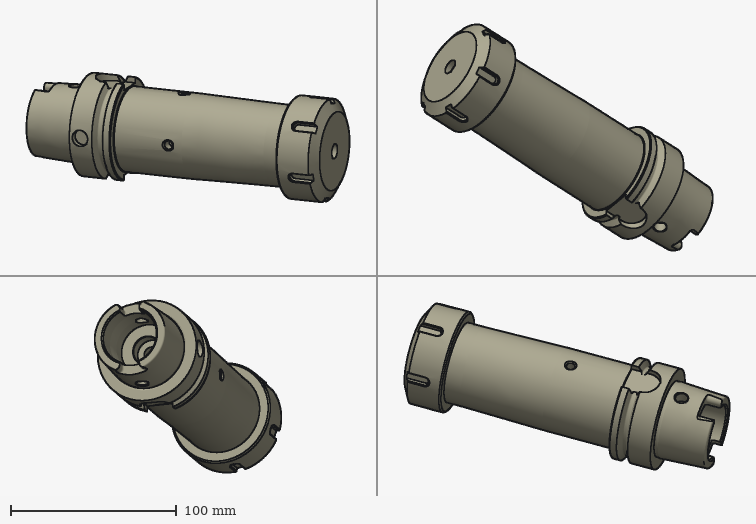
import cadquery as cq
import math


shank_length = 32.0
shank_rim_radius = 22.5
shank_root_radius = 24.05
shank_root_x = -2.2
rim_rounding = 1.0
relief_radius = 23.8
relief_depth = 0.4
relief_face_radius = 25.1

mouth_bore_radius = 17.0
mouth_chamfer = 0.9
mouth_bore_depth = 13.0
inner_bore_radius = 16.2
inner_bore_depth = 22.5
cavity_floor_x = 0.0
tube_recess_radius = 8.7
tube_recess_chamfer = 0.3
tube_recess_depth = 8.0
coolant_bore_radius = 4.5

drive_slot_width = 12.54
upper_slot_depth = 10.0
lower_slot_depth = 6.0
slot_corner_radius = 1.2
slot_shoulder_height = 20.6
slot_edge_radius = 2.7

cross_hole_x = -8.9
cross_hole_radius = 3.8
cross_hole_sink_depth = 0.6

flange_radius = 31.5
flange_length = 26.5
flange_chamfer = 0.6
groove_x = 18.13
groove_floor_radius = 27.5
groove_floor_width = 2.5
groove_floor_fillet = 0.7
groove_side_angle = 30.0
shoulder_radius = 26.3
shoulder_length = 0.5

keyway_width = 18.0
keyway_start_x = 5.0
keyway_floor_height = 26.5

chip_pocket_x = 6.9
chip_pocket_radius = 5.0
chip_pocket_depth = 4.6

barrel_radius = 26.0
nose_radius = 25.0
barrel_taper_start_x = 70.7
barrel_taper_end_x = 123.8

screw_hole_x = 62.0
screw_hole_radius = 2.6
screw_sink_depth = 1.0
screw_hole_depth = 8.0
screw_drill_point_angle = 118.0

nut_start_x = 134.2
nut_end_x = 159.9
nut_radius = 31.5
nut_back_chamfer = 1.0
nut_front_radius = 24.0
nut_front_chamfer_length = 4.4
nut_front_edge_x = nut_end_x - nut_front_chamfer_length

wrench_slot_count = 6
wrench_slot_phase = 10.0
wrench_slot_floor_height = 28.7
wrench_slot_floor_width = 4.5
wrench_slot_floor_start_x = 143.0
wrench_slot_flank_angle = 12.0
wrench_slot_bevel_height = 30.75
wrench_slot_bevel_angle = 45.0


def revolve_about_x(points):
    """Turn a closed (x, radius) outline about the X axis."""
    return cq.Workplane("XY").polyline(points).close().revolve(360, (0, 0, 0), (1, 0, 0))


def make_holder_blank():
    """Turned outside of the holder: shank, flange, barrel and nose."""
    groove_rise = flange_radius - groove_floor_radius
    groove_half_floor = groove_floor_width / 2
    groove_half_mouth = groove_half_floor + groove_rise * math.tan(math.radians(groove_side_angle))
    shoulder_end_x = flange_length + shoulder_length
    blank = revolve_about_x([
        (-shank_length, 0),
        (-shank_length, shank_rim_radius),
        (shank_root_x, shank_root_radius),
        (shank_root_x / 2, relief_radius),
        (relief_depth, relief_radius),
        (0, relief_face_radius),
        (0, flange_radius),
        (groove_x - groove_half_mouth, flange_radius),
        (groove_x - groove_half_floor, groove_floor_radius),
        (groove_x + groove_half_floor, groove_floor_radius),
        (groove_x + groove_half_mouth, flange_radius),
        (flange_length - flange_chamfer, flange_radius),
        (flange_length, flange_radius - flange_chamfer),
        (flange_length, shoulder_radius),
        (shoulder_end_x, barrel_radius),
        (barrel_taper_start_x, barrel_radius),
        (barrel_taper_end_x, nose_radius),
        (nut_front_edge_x, nose_radius),
        (nut_front_edge_x, 0),
    ])
    blank = blank.faces("<X").edges().fillet(rim_rounding)
    floor_reach = groove_half_floor + groove_floor_fillet
    groove_floor_box = cq.selectors.BoxSelector(
        (groove_x - floor_reach, -flange_radius, -flange_radius),
        (groove_x + floor_reach, flange_radius, flange_radius),
        boundingbox=True,
    )
    return blank.edges(groove_floor_box).edges("%CIRCLE").fillet(groove_floor_fillet)


def make_holder_cavity():
    """Stepped cavity of the shank, running into the coolant bore."""
    recess_end_x = cavity_floor_x + tube_recess_depth
    return revolve_about_x([
        (-shank_length, 0),
        (-shank_length, mouth_bore_radius + mouth_chamfer),
        (-shank_length + mouth_chamfer, mouth_bore_radius),
        (-shank_length + mouth_bore_depth, mouth_bore_radius),
        (-shank_length + inner_bore_depth, inner_bore_radius),
        (cavity_floor_x, inner_bore_radius),
        (cavity_floor_x, tube_recess_radius + tube_recess_chamfer),
        (cavity_floor_x + tube_recess_chamfer, tube_recess_radius),
        (recess_end_x, tube_recess_radius),
        (recess_end_x, coolant_bore_radius),
        (nut_front_edge_x, coolant_bore_radius),
        (nut_front_edge_x, 0),
    ])


def make_drive_slot(depth):
    """Cutter for a slot in the +Z side of the shank rim, its walls rounding out to flat shoulders."""
    half_width = drive_slot_width / 2
    rounding_end_y = half_width + slot_edge_radius
    rounding_start_z = slot_shoulder_height - slot_edge_radius
    return (
        cq.Workplane("YZ", origin=(-shank_length, 0, 0))
        .moveTo(-half_width, 0)
        .lineTo(-half_width, rounding_start_z)
        .radiusArc((-rounding_end_y, slot_shoulder_height), -slot_edge_radius)
        .lineTo(-shank_rim_radius, slot_shoulder_height)
        .lineTo(-shank_rim_radius, flange_radius)
        .lineTo(shank_rim_radius, flange_radius)
        .lineTo(shank_rim_radius, slot_shoulder_height)
        .lineTo(rounding_end_y, slot_shoulder_height)
        .radiusArc((half_width, rounding_start_z), -slot_edge_radius)
        .lineTo(half_width, 0)
        .close()
        .extrude(depth)
        .faces(">X")
        .edges("not(<Z or >Z or <Y or >Y)")
        .fillet(slot_corner_radius)
    )


def make_keyway():
    """Cutter for a round-ended keyway in the +Z side of the flange rim."""
    half_width = keyway_width / 2
    arc_center_x = keyway_start_x + half_width
    end_x = flange_length + shoulder_length
    return (
        cq.Workplane("XY", origin=(0, 0, keyway_floor_height))
        .moveTo(end_x, -half_width)
        .lineTo(arc_center_x, -half_width)
        .threePointArc((keyway_start_x, 0), (arc_center_x, half_width))
        .lineTo(end_x, half_width)
        .close()
        .extrude(flange_radius)
    )


def revolve_about_z(points, x):
    """Turn a closed (radius, height) outline about a vertical axis that crosses the tool axis at x."""
    profile = cq.Workplane("XZ").polyline(points).close()
    return profile.revolve(360, (0, 0, 0), (0, 1, 0)).translate((x, 0, 0))


def make_cross_hole():
    """Cutter for the +Z half of the hole across the shank, countersunk at the taper."""
    taper_slope = (shank_root_radius - shank_rim_radius) / (shank_root_x + shank_length)
    surface_radius = shank_root_radius + taper_slope * (cross_hole_x - shank_root_x)
    mouth_radius = cross_hole_radius + cross_hole_sink_depth
    return revolve_about_z([
        (0, 0),
        (cross_hole_radius, 0),
        (cross_hole_radius, surface_radius - cross_hole_sink_depth),
        (mouth_radius, surface_radius),
        (mouth_radius, flange_radius),
        (0, flange_radius),
    ], cross_hole_x)


def make_chip_pocket():
    """Cutter for the flat-bottomed round pocket on the -Y side of the flange."""
    return (
        cq.Workplane("XZ", origin=(chip_pocket_x, chip_pocket_depth - flange_radius, 0))
        .circle(chip_pocket_radius)
        .extrude(flange_radius)
    )


def make_screw_hole():
    """Cutter for a countersunk blind hole with a drill point, in the +Z side of the barrel."""
    shoulder_z = barrel_radius - screw_hole_depth
    drill_point_length = screw_hole_radius / math.tan(math.radians(screw_drill_point_angle / 2))
    mouth_radius = screw_hole_radius + screw_sink_depth
    return revolve_about_z([
        (0, shoulder_z - drill_point_length),
        (screw_hole_radius, shoulder_z),
        (screw_hole_radius, barrel_radius - screw_sink_depth),
        (mouth_radius, barrel_radius),
        (0, barrel_radius),
    ], screw_hole_x)


def turn(cutter, angle):
    """Turn a cutter about the tool axis; positive angles go from +Y to +Z."""
    return cutter.rotate((0, 0, 0), (1, 0, 0), angle)


def make_holder():
    """Holder body with all its cuts."""
    holder = make_holder_blank().cut(make_holder_cavity())
    holder = holder.cut(make_drive_slot(upper_slot_depth))
    holder = holder.cut(turn(make_drive_slot(lower_slot_depth), 180))
    for angle in (0, 180):
        holder = holder.cut(turn(make_keyway(), angle))
        holder = holder.cut(turn(make_cross_hole(), angle))
    holder = holder.cut(make_chip_pocket())
    for angle in (0, 90):
        holder = holder.cut(turn(make_screw_hole(), angle))
    return holder


def make_flared_slot(width, floor_height, flank_angle):
    """Cutter that widens upwards from a round-ended floor and is open to the nut front."""
    end_center_x = wrench_slot_floor_start_x + wrench_slot_floor_width / 2
    start_x = end_center_x - width / 2
    length = nut_end_x + width / 2 - start_x
    return (
        cq.Workplane("XY", origin=(start_x + length / 2, 0, floor_height))
        .slot2D(length, width)
        .extrude(nut_radius - floor_height, taper=-flank_angle)
    )


def make_wrench_slot():
    """Cutter for one slot in the +Z side of the nut, with a bevelled mouth."""
    wall_height = wrench_slot_bevel_height - wrench_slot_floor_height
    wall_spread = wall_height * math.tan(math.radians(wrench_slot_flank_angle))
    mouth_width = wrench_slot_floor_width + 2 * wall_spread
    walls = make_flared_slot(wrench_slot_floor_width, wrench_slot_floor_height, wrench_slot_flank_angle)
    bevel = make_flared_slot(mouth_width, wrench_slot_bevel_height, wrench_slot_bevel_angle)
    return walls.union(bevel)


def make_nut():
    """Clamping nut, recessed at the back for the holder nose."""
    nut = revolve_about_x([
        (nut_start_x, nose_radius),
        (nut_start_x, nut_radius - nut_back_chamfer),
        (nut_start_x + nut_back_chamfer, nut_radius),
        (nut_front_edge_x, nut_radius),
        (nut_end_x, nut_front_radius),
        (nut_end_x, coolant_bore_radius),
        (nut_front_edge_x, coolant_bore_radius),
        (nut_front_edge_x, nose_radius),
    ])
    for index in range(wrench_slot_count):
        angle = index * 360 / wrench_slot_count - wrench_slot_phase
        nut = nut.cut(turn(make_wrench_slot(), angle))
    return nut


holder = make_holder()
nut = make_nut()
result = cq.Compound.makeCompound([holder.solids().val(), nut.solids().val()])